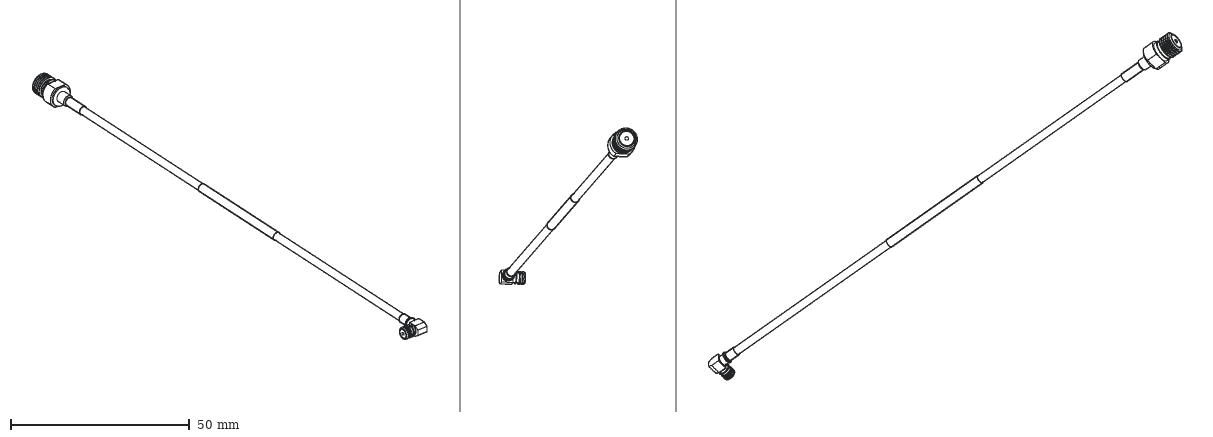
import cadquery as cq

total_length = 170.64
total_depth = 8.77

thread_diameter = 6.34
thread_pitch = 0.706
thread_depth = 0.45
thread_count = 5
thread_lead_in = 0.4
thread_end = thread_lead_in + thread_count * thread_pitch
relief_diameter = 5.3
collar_start = 4.75
collar_diameter = 6.0
wrench_start = 5.75
wrench_end = 9.1
wrench_diameter = 7.2
wrench_across_flats = 6.15
collar_end = 9.6
neck_diameter = 3.3
neck_chamfer = 0.35
jack_end = 12.9

jack_insulator_diameter = 4.1
jack_contact_diameter = 1.0
jack_insulator_length = wrench_end

cable_diameter = 2.3
sleeve_diameter = 2.7
jack_sleeve_end = 19.2
label_start = 72.2
label_end = 105.6
label_diameter = 2.6
elbow_sleeve_start = 161.8

elbow_start = 164.75
elbow_flange_diameter = 3.4
elbow_flange_length = 0.6
elbow_flange_chamfer = 0.3
elbow_neck_diameter = 2.9
block_start = 167.0
block_width = 3.3
block_height = 3.5
block_nose_length = 1.2
block_nose_drop = 0.85

plug_axis_x = 168.4
plug_tip_y = wrench_diameter / 2 - total_depth
plug_neck_diameter = 2.9
plug_diameter = 3.6
plug_ring_top = -2.5
plug_ring_bottom = -2.6
plug_head_top = -3.4
plug_groove_top = -3.8
plug_groove_bottom = -4.35
plug_tip_taper_length = 0.45
plug_tip_taper_drop = 0.15
plug_bore_diameter = 2.6
plug_pin_diameter = 0.8
plug_bore_floor = -block_width / 2


def rod(start, end, diameter):
    """Cylinder along the X axis."""
    plane = cq.Plane(origin=(start, 0, 0), xDir=(0, 0, 1), normal=(1, 0, 0))
    return cq.Workplane(plane).circle(diameter / 2).extrude(end - start)


def post(start, end, diameter):
    """Cylinder along the plug axis, from Y = start to Y = end (end is the lower value)."""
    plane = cq.Workplane("XZ", origin=(plug_axis_x, start, 0))
    return plane.circle(diameter / 2).extrude(start - end)


def tube(start, end, diameter, bore):
    return rod(start, end, diameter).cut(rod(start, end, bore))


def make_thread():
    """Ring-shaped ridges with flat crests and roots on a solid core, with a conical lead-in."""
    crest = thread_diameter / 2
    root = crest - thread_depth
    quarter = thread_pitch / 4
    profile = [(0, 0), (0, root - thread_lead_in), (thread_lead_in, root)]
    for turn in range(thread_count):
        ridge_start = thread_lead_in + turn * thread_pitch
        profile.append((ridge_start + quarter, crest))
        profile.append((ridge_start + 2 * quarter, crest))
        profile.append((ridge_start + 3 * quarter, root))
        profile.append((ridge_start + thread_pitch, root))
    profile.append((thread_end, 0))
    return cq.Workplane("XY").polyline(profile).close().revolve(360, (0, 0, 0), (1, 0, 0))


def make_wrench_section():
    """Round section with two opposite wrench flats facing up and down."""
    length = wrench_end - wrench_start
    center_x = (wrench_start + wrench_end) / 2
    flats = cq.Workplane("XY", origin=(center_x, 0, 0)).box(length, wrench_diameter, wrench_across_flats)
    return rod(wrench_start, wrench_end, wrench_diameter).intersect(flats)


def make_jack_body():
    neck = rod(collar_end, jack_end, neck_diameter).faces(">X").chamfer(neck_chamfer)
    body = (
        make_thread()
        .union(rod(thread_end, collar_start, relief_diameter))
        .union(rod(collar_start, collar_end, collar_diameter))
        .union(make_wrench_section())
        .union(neck)
    )
    body = body.cut(rod(0, jack_insulator_length, jack_insulator_diameter))
    return body.cut(rod(jack_insulator_length, jack_end, cable_diameter))


def make_elbow_body():
    block_length = total_length - block_start
    block = (
        cq.Workplane("XY", origin=(block_start + block_length / 2, 0, 0))
        .box(block_length, block_width, block_height)
        .faces(">X").edges("|Y").chamfer(block_nose_drop, block_nose_length)
    )
    flange = rod(elbow_start, elbow_start + elbow_flange_length, elbow_flange_diameter)
    plug_tip = (
        post(plug_groove_bottom, plug_tip_y, plug_diameter)
        .faces("<Y").chamfer(plug_tip_taper_length, plug_tip_taper_drop)
    )
    body = (
        block
        .union(rod(elbow_start, block_start, elbow_neck_diameter))
        .union(flange.faces("<X").chamfer(elbow_flange_chamfer))
        .union(post(0, plug_tip_y, plug_neck_diameter))
        .union(post(plug_ring_top, plug_ring_bottom, plug_diameter))
        .union(post(plug_head_top, plug_groove_top, plug_diameter))
        .union(plug_tip)
    )
    body = body.cut(rod(elbow_start, block_start, cable_diameter))
    return body.cut(post(plug_bore_floor, plug_tip_y, plug_bore_diameter))


jack_body = make_jack_body()
jack_insulator = tube(0, jack_insulator_length, jack_insulator_diameter, jack_contact_diameter)
jack_contact = rod(0, jack_insulator_length, jack_contact_diameter)
cable = rod(jack_insulator_length, block_start, cable_diameter)
jack_sleeve = tube(jack_end, jack_sleeve_end, sleeve_diameter, cable_diameter)
label = tube(label_start, label_end, label_diameter, cable_diameter)
elbow_sleeve = tube(elbow_sleeve_start, elbow_start, sleeve_diameter, cable_diameter)
elbow_body = make_elbow_body()
plug_pin = post(plug_bore_floor, plug_tip_y, plug_pin_diameter)
plug_insulator = post(plug_bore_floor, plug_tip_y, plug_bore_diameter).cut(plug_pin)

bodies = [
    jack_body, jack_insulator, jack_contact, cable, jack_sleeve,
    label, elbow_sleeve, elbow_body, plug_insulator, plug_pin,
]
result = cq.Compound.makeCompound([body.val() for body in bodies])